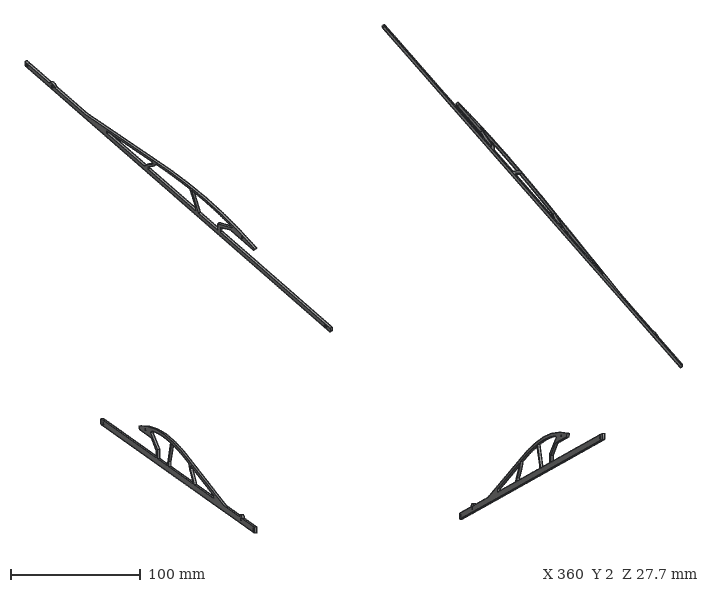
import cadquery as cq

length = 360.0
thickness = 2.0
bar_height = 4.5
total_height = 27.7
end_bulge = 0.7
bar_middle = bar_height / 2

hole_diameter = 2.0
end_hole_inset = 2.5
right_hole_inset = 6.0
boss_x = 32.0
boss_z = 3.2
boss_radius = 3.5

arch_start_x = 71.3
arch_bend = (150.0, 20.0)
arch_front_middle = (181.0, 25.5)
crown_x = 211.5
arch_rear_middle = (241.5, 26.0)
nose_x = 270.7
nose_top = 20.0
nose_bottom = 17.5
nose_tip_setback = 1.5
nose_heel_x = 241.5
arch_depth = 2.5
wedge_end_x = 96.0
wedge_end_top = 7.0
inner_rear_middle = (226.0, 25.0)
arch_inner_end = (240.0, 23.5)
nose_hole = (255.5, 21.0)
nose_hole_diameter = 1.5

post_left = 226.8
post_right = 230.0
post_left_top = 12.0
post_right_top = 10.0
nose_throat = (243.5, 21.5)


def plate(sketch):
    """Extrude a closed XZ outline symmetrically to the plate thickness."""
    return sketch.extrude(thickness / 2, both=True)


def polygon(points):
    return plate(cq.Workplane("XZ").polyline(points).close())


def hole(x, z, diameter):
    return plate(cq.Workplane("XZ").center(x, z).circle(diameter / 2))


def bar():
    """Straight bar with a slightly bowed right end and a half-round boss."""
    shoulder_x = length - end_bulge
    body = plate(
        cq.Workplane("XZ")
        .lineTo(shoulder_x, 0)
        .threePointArc((length, bar_middle), (shoulder_x, bar_height))
        .lineTo(0, bar_height)
        .close()
    )
    boss = plate(
        cq.Workplane("XZ")
        .moveTo(boss_x - boss_radius, boss_z)
        .threePointArc((boss_x, boss_z + boss_radius), (boss_x + boss_radius, boss_z))
        .close()
    )
    return body.union(boss)


def arch():
    """Wedge root, slender arch, nose and the bent post below it."""
    bend_x, bend_z = arch_bend
    front_x, front_z = arch_front_middle
    crown_inner = (crown_x, total_height - arch_depth)
    outline = (
        cq.Workplane("XZ")
        .moveTo(arch_start_x, bar_height)
        .lineTo(bend_x, bend_z)
        .threePointArc(arch_front_middle, (crown_x, total_height))
        .threePointArc(arch_rear_middle, (nose_x, nose_top))
        .lineTo(nose_x - nose_tip_setback, nose_bottom)
        .lineTo(nose_heel_x, nose_bottom)
        .lineTo(post_right, post_right_top)
        .lineTo(post_right, bar_middle)
        .lineTo(post_left, bar_middle)
        .lineTo(post_left, post_left_top)
        .lineTo(*nose_throat)
        .lineTo(*arch_inner_end)
        .threePointArc(inner_rear_middle, crown_inner)
        .threePointArc((front_x, front_z - arch_depth), (bend_x, bend_z - arch_depth))
        .lineTo(wedge_end_x, wedge_end_top)
        .lineTo(wedge_end_x, bar_middle)
        .lineTo(arch_start_x, bar_middle)
        .close()
    )
    return plate(outline)


front_strut = [
    (140.8, bar_height), (143.5, 8.5), (150.0, 15.0), (149.0, 18.7),
    (154.8, 19.8), (152.0, 14.5), (145.0, 7.2), (145.0, bar_middle), (140.8, bar_middle),
]
rear_strut = [
    (201.0, bar_middle), (201.0, 8.5), (193.5, 25.2),
    (196.2, 25.2), (202.5, 8.5), (204.5, bar_height), (204.5, bar_middle),
]

result = bar().union(arch()).union(polygon(front_strut)).union(polygon(rear_strut))

bar_holes = [
    (end_hole_inset, bar_middle),
    (boss_x, boss_z),
    (length - right_hole_inset, bar_middle),
]
for x, z in bar_holes:
    result = result.cut(hole(x, z, hole_diameter))
result = result.cut(hole(*nose_hole, nose_hole_diameter))